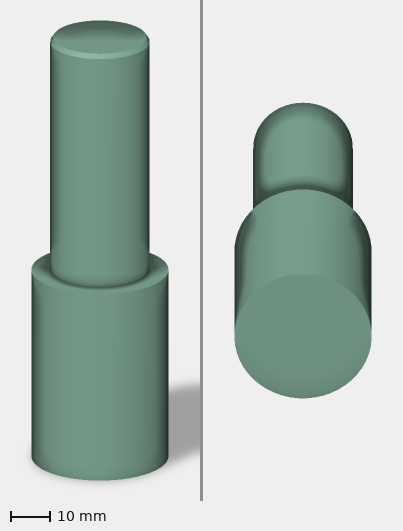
import cadquery as cq

PIN_LENGTH = 114.3
PIN_DIAMETER = 25.4
CHAMFER_HEIGHT = 1.1
CHAMFER_INSET = 0.8
SLEEVE_DIAMETER = 35.0
SLEEVE_LENGTH = 50.9


def make_pin():
    """Straight pin standing on Z = 0, with a chamfered free end."""
    radius = PIN_DIAMETER / 2
    half_profile = (
        cq.Workplane("XZ")
        .lineTo(radius, 0)
        .lineTo(radius, PIN_LENGTH - CHAMFER_HEIGHT)
        .lineTo(radius - CHAMFER_INSET, PIN_LENGTH)
        .lineTo(0, PIN_LENGTH)
        .close()
    )
    return half_profile.revolve(360, (0, 0), (0, 1))


def make_sleeve():
    """Plain sleeve around the lower end of the pin, bored through to fit it."""
    return (
        cq.Workplane("XY")
        .circle(SLEEVE_DIAMETER / 2)
        .circle(PIN_DIAMETER / 2)
        .extrude(SLEEVE_LENGTH)
    )


pin = make_pin()
sleeve = make_sleeve()

result = cq.Compound.makeCompound([pin.val(), sleeve.val()])